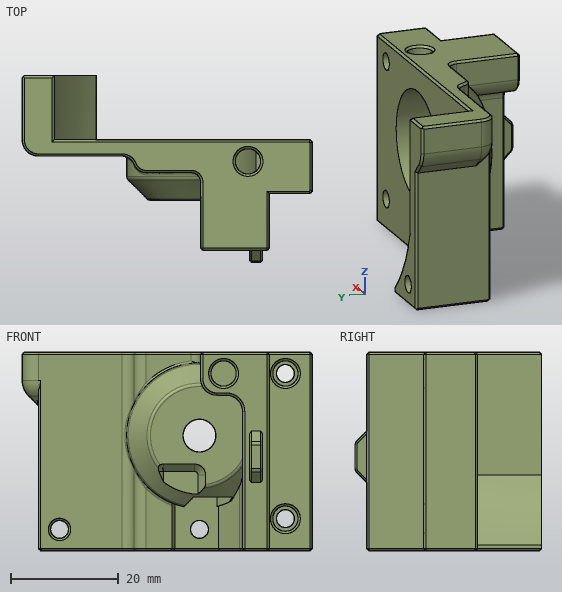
import cadquery as cq
import math


length = 54.0
height = 37.0
edge_chamfer = 0.45
tolerance = 0.025
COS45 = math.cos(math.pi / 4)

plate_left = 3.0
plate_depth = 3.1
middle_depth = 6.15
right_depth = 10.05
wall_depth = 20.65
step_start, step_end = 18.6, 23.05
wall_left, wall_right = 41.0, 46.0

corner_left = 33.2
corner_bottom = 28.95
corner_radius = 2.995
corner_root_radius = 1.8

arm_back = 11.95
arm_width = 6.0
foot_right = 13.8
arm_round_bottom = 31.7
arm_bend_radius = 4.025
foot_recess_radius = 27.95

hub_x, hub_z = 33.0, 21.45
hub_radius = 13.55
hub_depth = 11.3
hub_cone_height = 4.05
hub_edge_radius = 0.9
hub_root_radius = 0.45
hub_bore = 6.05
hub_cavity = 21.6
hub_web = 1.75

channel_left = 27.9
channel_depth = 4.9
channel_slope_start = 36.55
channel_side_run = 0.55
channel_root_radius = 1.8
channel_top = 13.5
relief_left, relief_top = 31.85, 10.0
relief_gap = 0.3

pocket_left, pocket_right, pocket_top = 26.3, 32.7, 14.75
pocket_bottom = 7.55
pocket_depth = 1.4
pocket_corner_radius = 0.65

key_x, key_width = 43.5, 2.45
key_bottom, key_top = 12.7, 22.3
key_height = 2.2
key_chamfer = 0.4

screw_hole = 3.3
pin_hole = 4.7
screw_head = 6.0
right_hole_x, right_hole_zs = 49.0, (6.0, 33.0)
counterbore_depth = 3.25
foot_hole_x, low_hole_z = 6.95, 4.0
channel_web = 1.6
front_pin_x, front_pin_z, front_pin_depth = 37.5, 33.0, 8.1
top_pin_x, top_pin_depth_in_y, top_pin_depth = 42.0, 4.05, 7.0


def box(x0, x1, y0, y1, z0, z1):
    return cq.Workplane("XY").box(x1 - x0, y1 - y0, z1 - z0, centered=False).translate((x0, y0, z0))


def rod(diameter, x, z, y_from, y_to):
    """Cylinder along Y."""
    disc = cq.Workplane("XZ", origin=(x, y_from, z)).circle(diameter / 2)
    return disc.extrude(y_from - y_to)


def hole_chamfer(diameter, x, z, depth):
    """45 degree cone that opens a hole at a front face."""
    return cq.Workplane(
        cq.Solid.makeCone(
            diameter / 2 + edge_chamfer,
            diameter / 2,
            edge_chamfer,
            pnt=cq.Vector(x, -depth, z),
            dir=cq.Vector(0, 1, 0),
        )
    )


def plate():
    """Plate, S-shaped step, thick right end and front wall as one plan outline."""
    mid_x = (step_start + step_end) / 2
    mid_y = -(plate_depth + middle_depth) / 2
    half_run, half_rise = mid_x - step_start, (middle_depth - plate_depth) / 2
    turn = 2 * math.atan2(half_rise, half_run)
    radius = half_run / math.sin(turn)
    sag_x, sag_y = radius * math.sin(turn / 2), radius * (1 - math.cos(turn / 2))
    return (
        cq.Workplane("XY")
        .moveTo(foot_right, 0)
        .lineTo(foot_right, -plate_depth)
        .lineTo(step_start, -plate_depth)
        .threePointArc((step_start + sag_x, -plate_depth - sag_y), (mid_x, mid_y))
        .threePointArc((step_end - sag_x, -middle_depth + sag_y), (step_end, -middle_depth))
        .lineTo(wall_left, -middle_depth)
        .lineTo(wall_left, -wall_depth)
        .lineTo(wall_right, -wall_depth)
        .lineTo(wall_right, -right_depth)
        .lineTo(length, -right_depth)
        .lineTo(length, 0)
        .close()
        .extrude(height)
    )


def corner_block():
    """Block whose lower outline rounds out of its left side and into the wall."""
    r = corner_radius
    k = r * COS45
    return (
        cq.Workplane("XZ")
        .moveTo(corner_left, height)
        .lineTo(corner_left, corner_bottom + r)
        .threePointArc((corner_left + r - k, corner_bottom + r - k), (corner_left + r, corner_bottom))
        .lineTo(wall_left - r, corner_bottom)
        .threePointArc((wall_left - r + k, corner_bottom - r + k), (wall_left, corner_bottom - r))
        .lineTo(wall_right, corner_bottom - r)
        .lineTo(wall_right, height)
        .close()
        .extrude(wall_depth)
    )


def arm_and_foot():
    """Foot with an overhanging arm whose underside bends in at 45 degrees."""
    reach = plate_left
    bend_x = arm_bend_radius * (1 - COS45)
    bend_z = arm_round_bottom - arm_bend_radius * COS45
    mid = math.pi / 8
    bend_mid = (
        arm_bend_radius * (1 - math.cos(mid)),
        arm_round_bottom - arm_bend_radius * math.sin(mid),
    )
    root_z = bend_z - (reach - bend_x)
    corner_y = reach - plate_depth

    def profile(y):
        return (
            cq.Workplane("XZ", origin=(0, y, 0))
            .moveTo(reach, height)
            .lineTo(0, height)
            .lineTo(0, arm_round_bottom)
            .threePointArc(bend_mid, (bend_x, bend_z))
            .lineTo(reach, root_z)
            .close()
        )

    arm = profile(arm_back).extrude(arm_back - corner_y)
    corner = profile(corner_y).revolve(360, (reach, 0, 0), (reach, 1, 0))
    foot = box(plate_left, foot_right, -plate_depth, arm_back, 0, height)
    foot = foot.edges("|Z and <X and <Y").chamfer(edge_chamfer)
    foot = foot.union(box(plate_left, foot_right, -plate_depth, arm_back, arm_round_bottom, height))
    recess = rod(2 * foot_recess_radius, hub_x, hub_z, 0, arm_back).union(
        box(arm_width, foot_right, 0, arm_back, hub_z, height)
    )
    recess = recess.intersect(box(arm_width, foot_right, 0, arm_back, 0, height))
    return foot.union(arm).union(corner).cut(recess)


def channel():
    """Channel with a slanted left side that reaches to the wall on the right."""
    front = middle_depth + hub_depth
    return (
        cq.Workplane("XY")
        .moveTo(channel_left, -front)
        .lineTo(channel_left, -middle_depth)
        .lineTo(channel_left + channel_side_run, -channel_depth)
        .lineTo(wall_left, -channel_depth)
        .lineTo(wall_left, -front)
        .close()
        .extrude(channel_top)
    )


def channel_floor():
    """45 degree right side of the channel, rounded into the wall."""
    r = channel_root_radius
    tangent_x = wall_left - r * (1 - COS45)
    tangent_y = -channel_depth - (tangent_x - channel_slope_start)
    mid = math.pi / 8
    end_y = tangent_y - r * COS45
    return (
        cq.Workplane("XY")
        .moveTo(channel_slope_start, 0)
        .lineTo(channel_slope_start, -channel_depth)
        .lineTo(tangent_x, tangent_y)
        .threePointArc((wall_left - r + r * math.cos(mid), end_y + r * math.sin(mid)), (wall_left, end_y))
        .lineTo(wall_left, 0)
        .close()
        .extrude(channel_top)
    )


def hub():
    """Round hub with a 45 degree cone towards its face and rounded rims."""
    face_radius = hub_radius - hub_cone_height
    cone_base = hub_depth - hub_cone_height
    solid = (
        cq.Workplane("XY")
        .lineTo(hub_radius, 0)
        .lineTo(hub_radius, -cone_base)
        .lineTo(face_radius, -hub_depth)
        .lineTo(0, -hub_depth)
        .close()
        .revolve(360, (0, 0, 0), (0, 1, 0))
    )
    rims = cq.selectors.BoxSelector(
        (-length, -hub_depth - tolerance, -length), (length, tolerance - cone_base, length), boundingbox=True
    )
    return solid.edges(rims).edges("%CIRCLE").fillet(hub_edge_radius).translate((hub_x, 0, hub_z))


def hub_relief():
    """Clearance that continues the channel up into the lower edge of the hub."""
    left = channel_left + channel_side_run
    slope_start = channel_slope_start - relief_gap
    plan = (
        cq.Workplane("XY")
        .moveTo(left, -channel_depth)
        .lineTo(slope_start, -channel_depth)
        .lineTo(slope_start + hub_depth, -channel_depth - hub_depth)
        .lineTo(left, -channel_depth - hub_depth)
        .close()
        .extrude(channel_top)
    )
    elevation = (
        cq.Workplane("XZ")
        .moveTo(relief_left, relief_top)
        .lineTo(relief_left - relief_top, 0)
        .lineTo(length, 0)
        .lineTo(length, relief_top)
        .close()
        .extrude(wall_depth)
    )
    return plan.intersect(elevation).intersect(box(0, wall_left, -wall_depth, 0, 0, height))


def hub_pocket():
    """Pocket with 45 degree sides that widen towards the hub face."""
    floor = (
        cq.Sketch()
        .rect(pocket_right - pocket_left, pocket_top - pocket_bottom)
        .vertices(">X and >Y")
        .fillet(pocket_corner_radius)
    )
    centre = ((pocket_left + pocket_right) / 2, pocket_depth - hub_depth, (pocket_bottom + pocket_top) / 2)
    return cq.Workplane("XZ", origin=centre).placeSketch(floor).extrude(2 * pocket_depth, taper=-45)


def key():
    """Key with 45 degree ends and chamfered edges."""
    front = -wall_depth - key_height
    return (
        cq.Workplane("YZ", origin=(key_x - key_width / 2, 0, 0))
        .moveTo(-wall_depth, key_bottom)
        .lineTo(front, key_bottom + key_height)
        .lineTo(front, key_top - key_height)
        .lineTo(-wall_depth, key_top)
        .close()
        .extrude(key_width)
        .faces("<Y or >X or <X")
        .edges("not >Y")
        .chamfer(key_chamfer)
    )


def vertical_edges(shape, x, y):
    """Upright edges of the shape at one place in plan."""
    span = cq.selectors.BoxSelector(
        (x - tolerance, y - tolerance, -tolerance),
        (x + tolerance, y + tolerance, height + tolerance),
        boundingbox=True,
    )
    return shape.edges(span)


def on_hub_root(edge):
    """Whether an edge runs along the hub's cylinder where it meets the plate."""
    points = [edge.positionAt(t) for t in (0, 0.25, 0.5, 0.75, 1)]
    return all(
        abs(math.hypot(p.x - hub_x, p.z - hub_z) - hub_radius) < tolerance
        and plate_depth - tolerance < -p.y < middle_depth + tolerance
        for p in points
    )


hub_solid = hub()
hub_on_plate = plate().union(hub_solid)
hub_root = [edge for edge in hub_on_plate.edges().vals() if on_hub_root(edge)]
hub_on_plate = hub_on_plate.newObject(hub_root).fillet(hub_root_radius)
body = plate().union(corner_block()).union(arm_and_foot())
body = vertical_edges(body, corner_left, -middle_depth).fillet(corner_root_radius)
body = body.union(hub_on_plate)
body = body.union(
    box(corner_left + corner_radius, wall_left, -hub_depth, -middle_depth, hub_z, corner_bottom)
)

body = body.cut(channel().cut(hub_solid)).union(channel_floor())

for y in (-right_depth, 0):
    body = vertical_edges(body, length, y).chamfer(edge_chamfer)
body = body.faces(">Z or <Z or <Y").edges().chamfer(edge_chamfer)
near = 0.05
left_rim = cq.selectors.BoxSelector(
    (-near, arm_back - near, 0), (plate_left + near, arm_back + near, height), boundingbox=True
)
body = body.edges(left_rim).chamfer(edge_chamfer)

top_pin = cq.Workplane("XY", origin=(top_pin_x, -top_pin_depth_in_y, height))
body = body.cut(top_pin.circle(pin_hole / 2).extrude(-top_pin_depth).cut(hub_solid))
pin_mouth = cq.Solid.makeCone(
    pin_hole / 2 + edge_chamfer,
    pin_hole / 2,
    edge_chamfer,
    pnt=cq.Vector(top_pin_x, -top_pin_depth_in_y, height),
    dir=cq.Vector(0, 0, -1),
)
body = body.cut(cq.Workplane(pin_mouth))

body = body.cut(hub_relief().cut(channel_floor())).cut(hub_pocket())
body = body.cut(rod(hub_bore, hub_x, hub_z, -hub_depth, 0))
body = body.cut(rod(hub_cavity, hub_x, hub_z, hub_web - hub_depth, 0))
body = body.union(key())

for z in right_hole_zs:
    body = body.cut(rod(screw_hole, right_hole_x, z, -right_depth, 0))
    body = body.cut(rod(pin_hole, right_hole_x, z, -right_depth, counterbore_depth - right_depth))
    body = body.cut(hole_chamfer(pin_hole, right_hole_x, z, right_depth))
body = body.cut(rod(screw_hole, foot_hole_x, low_hole_z, -plate_depth, arm_back))
body = body.cut(hole_chamfer(screw_hole, foot_hole_x, low_hole_z, plate_depth))
body = body.cut(rod(screw_hole, hub_x, low_hole_z, -channel_depth, 0))
body = body.cut(rod(screw_head, hub_x, low_hole_z, channel_web - channel_depth, 0))
body = body.cut(rod(pin_hole, front_pin_x, front_pin_z, -wall_depth, front_pin_depth - wall_depth))
body = body.cut(hole_chamfer(pin_hole, front_pin_x, front_pin_z, wall_depth))

result = body